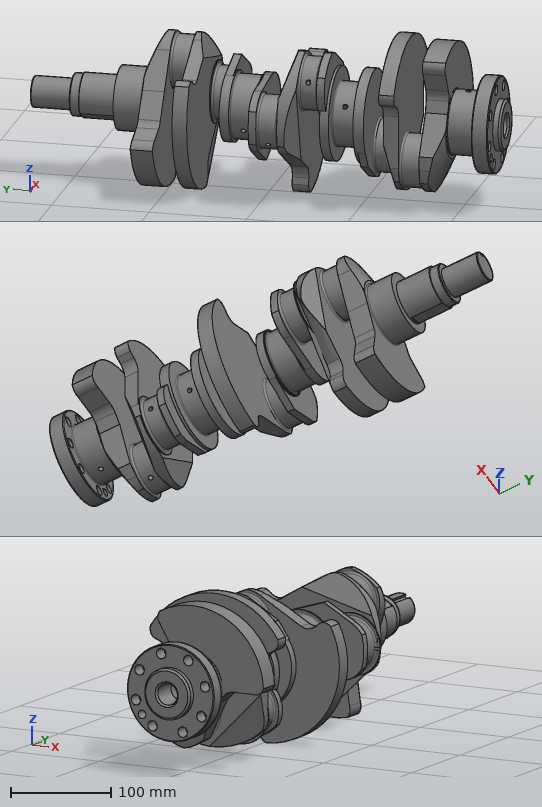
import cadquery as cq
import math

LENGTH = 484.2
THROW = 42.0
MAIN_RADIUS = 33.0
MAIN_FILLET = 1.0
PIN_RADIUS = 27.0
PIN_FILLET = 2.0
LOBE_RADIUS = 32.0
LOBE_REACH = 71.0
PAD_HEIGHT = 1.2
MAIN_PAD_RADIUS = 35.0

PIN_ANGLES = [-120, -60, 120, 180, 0, 60]
PIN_SPANS = [(76.5, 98.0), (113.5, 135.0), (182.0, 201.5), (218.5, 239.5), (285.5, 307.0), (322.0, 343.5)]
MAIN_SPANS = [(24.0, 53.5), (146.0, 171.0), (249.5, 276.0), (366.0, 395.0)]
MAIN_HOLE_ANGLES = [90, 150, 30]
PIN_HOLE_LEAD = 42
OIL_HOLE_RADIUS = 2.5

FLANGE_RADIUS = 49.5
FLANGE_SPAN = (7.7, 24.0)
PILOT_RADIUS = 26.0
PILOT_CHAMFER = 2.2
BORE_RADIUS = 11.0
BORE_DEPTH = 29.0
BORE_CHAMFER = 2.0
BOLT_CIRCLE_RADIUS = 40.5
BOLT_HOLE_RADIUS = 5.5
BOLT_ANGLES = [15, 60, 105, 150, 195, 240, 290, 330]
DOWEL_HOLE_RADIUS = 4.5
DOWEL_ANGLE = 217.5
EDGE_CHAMFER = 1.0

SNOUT_ANGLE = 60
SNOUT_STEPS = [(23.2, 395.0, 433.0), (22.0, 433.0, 443.0), (16.0, 443.0, LENGTH)]
FLAT_DISTANCE = 21.5
FLAT_SPAN = (397.0, 433.0)
KEYWAY_WIDTH = 5.5
KEYWAY_FLOOR = 12.5
KEYWAY_END = 449.0

SWEEP_DIAMETER = 171.0
SWEEP_RADIUS = SWEEP_DIAMETER / 2
PIN_HALF_SPLIT = 30
MIDDLE_WEBS = [(98.0, 113.5, -90), (201.5, 218.5, 150), (307.0, 322.0, 30)]
MIDDLE_BEVEL_ANGLE = 45
MIDDLE_BEVEL_DISTANCE = 46.5
BEVEL_SLOPE = 2.5

REAR_WEB_SPAN = (53.5, 76.5)
REAR_WEB_RADIUS = 81.0
FRONT_WEB_SPAN = (343.5, 366.0)
CONE_START_RADIUS = 37.5
CONE_SLOPE = 2.2

THICK_DISC_RADIUS = 48.0
THIN_DISC_RADIUS = 36.5
HEEL_REACH = 53.0
HEEL_ANGLE = 60.5
DISC_WEBS = [
    (THICK_DISC_RADIUS, (135.0, 146.0), (135.0, 143.0), -60, -1),
    (THICK_DISC_RADIUS, (171.0, 180.0), (174.0, 182.0), 120, -1),
    (THIN_DISC_RADIUS, (239.5, 248.5), (239.5, 247.5), 180, 1),
    (THIN_DISC_RADIUS, (276.0, 285.5), (277.5, 285.5), 0, 1),
]


def polar(radius, angle):
    """Point at a radius and an angle in degrees."""
    return (radius * math.cos(math.radians(angle)), radius * math.sin(math.radians(angle)))


def middle(span):
    return (span[0] + span[1]) / 2


def section(station):
    """Sketch plane across the crank axis, local axes X and Z."""
    return cq.Workplane("XZ", origin=(0, station, 0))


def cylinder(radius, start, end, centre=(0, 0)):
    return section(start).center(*centre).circle(radius).extrude(start - end)


def turn(body, angle):
    """Turn a body about the crank axis from +X toward +Z."""
    return body.rotate((0, 0, 0), (0, 1, 0), -angle)


def root_fillet(radius, fillet, face, direction, centre=(0, 0)):
    """Solid collar with a concave fillet from a face (direction +1 or -1 along Y) to a journal."""
    sag = fillet * (1 - math.sqrt(0.5))
    end = face + direction * fillet
    profile = (
        cq.Workplane("XY")
        .moveTo(0, face)
        .lineTo(radius + fillet, face)
        .threePointArc((radius + sag, face + direction * sag), (radius, end))
        .lineTo(0, end)
        .close()
    )
    return profile.revolve(360, (0, 0, 0), (0, 1, 0)).translate((centre[0], 0, centre[1]))


def oil_hole(station, angle, length, centre=(0, 0)):
    """Radial hole from a centre outward."""
    hole = cq.Workplane("YZ").center(station, 0).circle(OIL_HOLE_RADIUS).extrude(length)
    return turn(hole, angle).translate((centre[0], 0, centre[1]))


def main_journal(span, fillet_ends):
    start, end = span
    body = cylinder(MAIN_RADIUS, start, end).union(root_fillet(MAIN_RADIUS, MAIN_FILLET, start, 1))
    if fillet_ends == 2:
        body = body.union(root_fillet(MAIN_RADIUS, MAIN_FILLET, end, -1))
    return body


def crankpin(span, padded_start, padded_end, angle):
    """Crankpin with filleted ends that may stand on lobe-shaped pads."""
    start, end = span
    centre = polar(THROW, angle)
    body = cylinder(PIN_RADIUS, start, end, centre)
    for face, direction, padded in [(start, 1, padded_start), (end, -1, padded_end)]:
        foot = face
        if padded:
            foot = face + direction * PAD_HEIGHT
            body = body.union(cylinder(LOBE_RADIUS, face, foot, centre))
        body = body.union(root_fillet(PIN_RADIUS, PIN_FILLET, foot, direction, centre))
    return body


def tangent_point(centre, radius, point, side):
    """Touch point on a circle of a line from an outside point; side is +1 or -1."""
    dx = point[0] - centre[0]
    dz = point[1] - centre[1]
    opening = math.degrees(math.acos(radius / math.hypot(dx, dz)))
    offset = polar(radius, math.degrees(math.atan2(dz, dx)) + side * opening)
    return (centre[0] + offset[0], centre[1] + offset[1])


def mirrored_web(half, start, end, angle):
    """Complete a half outline about its centre line, as a web at an angle."""
    body = half.close().extrude(start - end)
    return turn(body.union(body.mirror("XY")).clean(), angle)


LOBE_HALF_ANGLE = math.degrees(
    math.acos((THROW**2 + LOBE_REACH**2 - LOBE_RADIUS**2) / (2 * THROW * LOBE_REACH))
)


def lobe_end(half, pin_angle, start_angle):
    """Run a half outline round a lobe from start_angle to the reach circle and the centre line."""
    pin = polar(THROW, pin_angle)
    corner_angle = pin_angle + LOBE_HALF_ANGLE
    corner = polar(LOBE_REACH, corner_angle)
    end_angle = math.degrees(math.atan2(corner[1] - pin[1], corner[0] - pin[0]))
    on_lobe = polar(LOBE_RADIUS, (start_angle + end_angle) / 2)
    return (
        half.threePointArc((pin[0] + on_lobe[0], pin[1] + on_lobe[1]), corner)
        .threePointArc(polar(LOBE_REACH, corner_angle / 2), (LOBE_REACH, 0))
    )


def lobe_bevel(face, back, angle):
    """Wedge that slopes from a chord on one web face out toward the other face."""
    outer = MIDDLE_BEVEL_DISTANCE + BEVEL_SLOPE * abs(back - face)
    wedge = (
        cq.Workplane("XY")
        .polyline([(MIDDLE_BEVEL_DISTANCE, face), (outer, face), (outer, back)])
        .close()
        .extrude(SWEEP_RADIUS, both=True)
    )
    return turn(wedge, angle)


def middle_web(start, end, angle):
    """Web between two pins 60 degrees apart, with its counterweight opposite."""
    pin = polar(THROW, PIN_HALF_SPLIT)
    flank = pin[1] + LOBE_RADIUS
    half = (
        section(start)
        .moveTo(-SWEEP_RADIUS, 0)
        .threePointArc(polar(SWEEP_RADIUS, 151), polar(SWEEP_RADIUS, 122))
        .threePointArc((-38.3, 72.0), (-33.5, 68.5))
        .lineTo(-30.5, 61.5)
        .threePointArc((-25.5, 55.5), (-18.0, flank))
        .lineTo(pin[0], flank)
    )
    web = mirrored_web(lobe_end(half, PIN_HALF_SPLIT, 90), start, end, angle)
    web = web.cut(lobe_bevel(start, end, angle + MIDDLE_BEVEL_ANGLE))
    return web.cut(lobe_bevel(end, start, angle - MIDDLE_BEVEL_ANGLE))


def cone_bevel(face, back):
    """Ring outside a cone that opens from one web face toward the pin, on the lobe half only."""
    outer = CONE_START_RADIUS + CONE_SLOPE * abs(back - face)
    ring = (
        cq.Workplane("XY")
        .polyline([(CONE_START_RADIUS, face), (outer, face), (outer, back)])
        .close()
        .revolve(180, (0, 0, 0), (0, 1, 0))
    )
    return turn(ring, 90)


def rear_web():
    """Web behind the flange, carrying the first pin."""
    start, end = REAR_WEB_SPAN
    corner = (46.0, 35.0)
    touch = tangent_point((THROW, 0), LOBE_RADIUS, corner, -1)
    half = (
        section(start)
        .moveTo(-REAR_WEB_RADIUS, 0)
        .threePointArc(polar(REAR_WEB_RADIUS, 152), polar(REAR_WEB_RADIUS, 123))
        .threePointArc((-38.0, 67.5), (-32.5, 61.5))
        .lineTo(-21.5, 42.0)
        .threePointArc((-18.0, 38.0), (-12.5, 35.0))
        .lineTo(0, 31.5)
        .lineTo(*corner)
        .lineTo(*touch)
    )
    touch_angle = math.degrees(math.atan2(touch[1], touch[0] - THROW))
    web = mirrored_web(lobe_end(half, 0, touch_angle), start, end, 0)
    return turn(web.cut(cone_bevel(start, end)), PIN_ANGLES[0])


def front_web():
    """Web next to the snout, carrying the last pin."""
    start, end = FRONT_WEB_SPAN
    flank_start = (1.5, 35.5)
    touch = tangent_point((THROW, 0), LOBE_RADIUS, flank_start, -1)
    half = (
        section(start)
        .moveTo(-SWEEP_RADIUS, 0)
        .threePointArc(polar(SWEEP_RADIUS, 159), polar(SWEEP_RADIUS, 139))
        .threePointArc((-58.5, 55.5), (-53.5, 52.5))
        .lineTo(-38.3, 40.5)
        .threePointArc((-34.0, 38.3), (-29.0, 38.0))
        .lineTo(*flank_start)
        .lineTo(*touch)
    )
    touch_angle = math.degrees(math.atan2(touch[1], touch[0] - THROW))
    web = mirrored_web(lobe_end(half, 0, touch_angle), start, end, 0)
    return turn(web.cut(cone_bevel(end, start)), PIN_ANGLES[5])


def disc_web(disc_radius, disc_span, arm_span, pin_angle, heel_side):
    """Light web: a disc on the crank axis, a lobe round the pin and a heel to one side."""
    pin = (THROW, 0)
    start, end = arm_span
    heel = polar(HEEL_REACH, heel_side * HEEL_ANGLE)
    disc_touch = tangent_point((0, 0), disc_radius, heel, heel_side)
    lobe_touch = tangent_point(pin, LOBE_RADIUS, heel, -heel_side)
    arm = section(start).polyline([(0, 0), disc_touch, heel, lobe_touch, pin]).close()
    web = arm.extrude(start - end).union(cylinder(LOBE_RADIUS, start, end, pin))
    if disc_radius == THIN_DISC_RADIUS:
        normal = -heel_side * math.degrees(math.acos((disc_radius - LOBE_RADIUS) / THROW))
        lobe_offset = polar(LOBE_RADIUS, normal)
        far_touch = (THROW + lobe_offset[0], lobe_offset[1])
        side = section(start).polyline([(0, 0), polar(disc_radius, normal), far_touch, pin]).close()
        web = web.union(side.extrude(start - end))
    web = web.intersect(cylinder(LOBE_REACH, start, end))
    return turn(web.union(cylinder(disc_radius, *disc_span)), pin_angle)


def rear_flange():
    start, end = FLANGE_SPAN
    flange = cylinder(FLANGE_RADIUS, start, end).faces("<Y or >Y").chamfer(EDGE_CHAMFER)
    pilot = cylinder(PILOT_RADIUS, 0, start).faces("<Y").chamfer(PILOT_CHAMFER)
    return flange.union(pilot)


def flange_holes():
    start, end = FLANGE_SPAN
    holes = cylinder(DOWEL_HOLE_RADIUS, start, end, polar(BOLT_CIRCLE_RADIUS, DOWEL_ANGLE))
    for angle in BOLT_ANGLES:
        holes = holes.union(cylinder(BOLT_HOLE_RADIUS, start, end, polar(BOLT_CIRCLE_RADIUS, angle)))
    return holes


def centre_bore():
    """Countersunk blind bore with a drilled point."""
    mouth = BORE_RADIUS + BORE_CHAMFER
    points = [
        (0, 0),
        (mouth, 0),
        (BORE_RADIUS, BORE_CHAMFER),
        (BORE_RADIUS, BORE_DEPTH),
        (0, BORE_DEPTH + BORE_RADIUS / math.sqrt(3)),
    ]
    return cq.Workplane("XY").polyline(points).close().revolve(360, (0, 0, 0), (0, 1, 0))


def snout():
    """Stepped front end with two drive flats and a keyway."""
    body = cylinder(*SNOUT_STEPS[0])
    for step in SNOUT_STEPS[1:]:
        body = body.union(cylinder(*step).faces(">Y").chamfer(EDGE_CHAMFER))
    start, end = FLAT_SPAN
    size = 2 * FLAT_DISTANCE
    flat = cq.Workplane("XY").box(size, end - start, size, centered=(False, False, True))
    flat = flat.translate((FLAT_DISTANCE, start, 0))
    keyway = (
        cq.Workplane("YZ", origin=(KEYWAY_FLOOR, 0, 0))
        .moveTo(LENGTH, -KEYWAY_WIDTH / 2)
        .lineTo(KEYWAY_END + KEYWAY_WIDTH / 2, -KEYWAY_WIDTH / 2)
        .threePointArc((KEYWAY_END, 0), (KEYWAY_END + KEYWAY_WIDTH / 2, KEYWAY_WIDTH / 2))
        .lineTo(LENGTH, KEYWAY_WIDTH / 2)
        .close()
        .extrude(FLAT_DISTANCE - KEYWAY_FLOOR)
    )
    body = body.cut(turn(flat, SNOUT_ANGLE)).cut(turn(flat, SNOUT_ANGLE + 180))
    return body.cut(turn(keyway, SNOUT_ANGLE))


crank = rear_flange().union(snout()).union(rear_web()).union(front_web())
for start, end, angle in MIDDLE_WEBS:
    crank = crank.union(middle_web(start, end, angle))
for web in DISC_WEBS:
    crank = crank.union(disc_web(*web))

for span in MAIN_SPANS[:3]:
    crank = crank.union(main_journal(span, 2))
crank = crank.union(main_journal(MAIN_SPANS[3], 1))
crank = crank.union(cylinder(MAIN_PAD_RADIUS, MAIN_SPANS[2][0] - PAD_HEIGHT, MAIN_SPANS[2][0]))
for number, (span, angle) in enumerate(zip(PIN_SPANS, PIN_ANGLES)):
    crank = crank.union(crankpin(span, number == 1, number == 4, angle))

for angle, span in zip(MAIN_HOLE_ANGLES, MAIN_SPANS):
    for opposite in (0, 180):
        crank = crank.cut(oil_hole(middle(span), angle + opposite, 2 * MAIN_RADIUS))
for angle, span in zip(PIN_ANGLES, PIN_SPANS):
    hole_angle = angle + PIN_HOLE_LEAD
    crank = crank.cut(oil_hole(middle(span), hole_angle, 2 * PIN_RADIUS, polar(THROW, angle)))

crank = crank.cut(flange_holes()).cut(centre_bore())
result = crank.translate((0, -LENGTH / 2, 0))